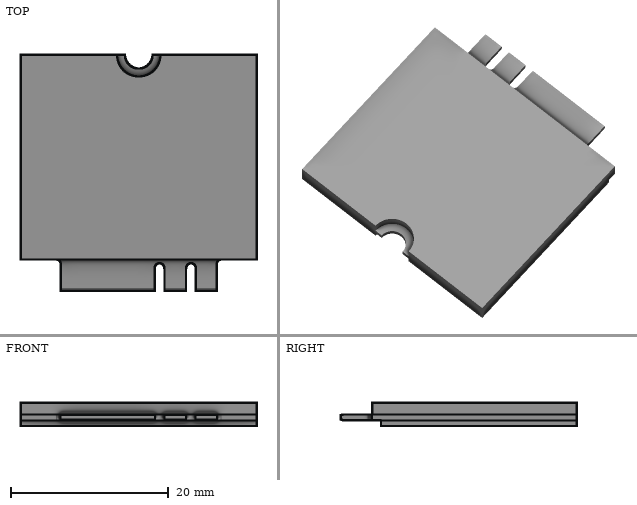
import cadquery as cq

width = 30.0
length = 30.0
height = 3.0
plate_thickness = 0.75
board_thickness = 0.75
cover_thickness = height - plate_thickness - board_thickness

back_y = length / 2
tip_y = -length / 2
tab_length = 4.0
shoulder_y = tip_y + tab_length
plate_setback = 1.1

tab_width = 19.85
shoulder_radius = 0.5
bevel_length = 0.3
bevel_depth = 0.1
slot_width = 1.2
slot_depth = 3.5
first_slot_x = 2.65
slot_pitch = 4.0
slot_count = 2

board_notch_radius = 1.75
clearance_notch_radius = 2.75

board_z = plate_thickness
cover_z = board_z + board_thickness


def notched_sheet(front_y, bottom_z, thickness, notch_radius):
    """Full-width sheet with a half-round notch in the middle of its back edge."""
    return (
        cq.Workplane("XY", origin=(0, 0, bottom_z))
        .moveTo(-width / 2, front_y)
        .lineTo(width / 2, front_y)
        .lineTo(width / 2, back_y)
        .lineTo(notch_radius, back_y)
        .threePointArc((0, back_y - notch_radius), (-notch_radius, back_y))
        .lineTo(-width / 2, back_y)
        .close()
        .extrude(thickness)
    )


def connector_tab():
    """Tab with its tip bevelled on both faces, lapping into the board sheet."""
    bevel_y = tip_y + bevel_length
    top_z = board_z + board_thickness
    return (
        cq.Workplane("YZ", origin=(-tab_width / 2, 0, 0))
        .moveTo(0, board_z)
        .lineTo(bevel_y, board_z)
        .lineTo(tip_y, board_z + bevel_depth)
        .lineTo(tip_y, top_z - bevel_depth)
        .lineTo(bevel_y, top_z)
        .lineTo(0, top_z)
        .close()
        .extrude(tab_width)
    )


def key_slot(center_x):
    """Cutter for a round-ended slot open at the tab's tip."""
    radius = slot_width / 2
    end_y = tip_y + slot_depth
    return (
        cq.Workplane("XY", origin=(center_x, 0, board_z))
        .moveTo(-radius, tip_y)
        .lineTo(radius, tip_y)
        .lineTo(radius, end_y - radius)
        .threePointArc((0, end_y), (-radius, end_y - radius))
        .close()
        .extrude(board_thickness)
    )


def make_board():
    """Circuit board with a filleted, slotted connector tab."""
    board = notched_sheet(shoulder_y, board_z, board_thickness, board_notch_radius)
    board = board.union(connector_tab())
    shoulder_corners = cq.selectors.BoxSelector(
        (-tab_width / 2 - shoulder_radius, shoulder_y - shoulder_radius, board_z),
        (tab_width / 2 + shoulder_radius, shoulder_y + shoulder_radius, cover_z),
    )
    board = board.edges("|Z").edges(shoulder_corners).fillet(shoulder_radius)
    for index in range(slot_count):
        board = board.cut(key_slot(first_slot_x + index * slot_pitch))
    return board


plate = notched_sheet(shoulder_y + plate_setback, 0, plate_thickness, clearance_notch_radius)
board = make_board()
cover = notched_sheet(shoulder_y, cover_z, cover_thickness, clearance_notch_radius)

result = cq.Compound.makeCompound([plate.val(), board.val(), cover.val()])